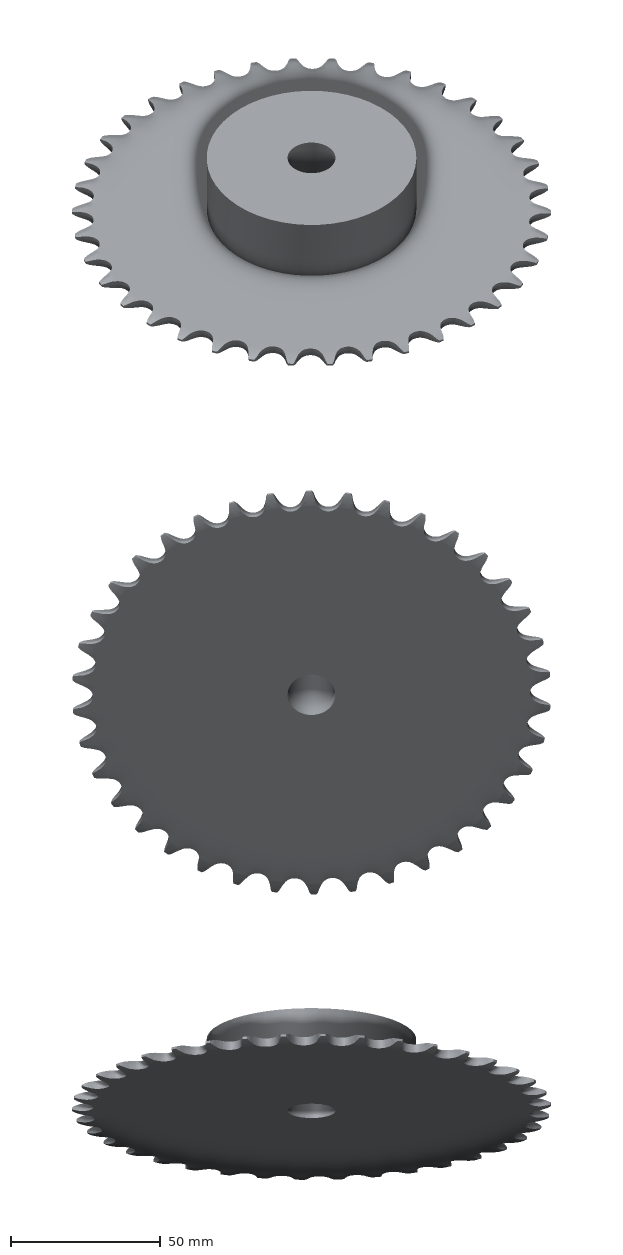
import cadquery as cq
import math

TOOTH_COUNT = 38
TIP_DIAMETER = 159.8
PITCH_DIAMETER = 153.7
ROLLER_DIAMETER = 7.8
PLATE_THICKNESS = 2.9
TOTAL_HEIGHT = 25.0
HUB_DIAMETER = 70.0
BORE_DIAMETER = 16.0

RELIEF_START_RADIUS = 74.8
RELIEF_RADIUS = 13.0

TIP_RADIUS = TIP_DIAMETER / 2
TOOTH_STEP = 360 / TOOTH_COUNT
CUTTER_OVERRUN = 0.5

SEAT_RADIUS = 0.5025 * ROLLER_DIAMETER
WORKING_OFFSET = 0.8 * ROLLER_DIAMETER
TOPPING_OFFSET = 1.4 * ROLLER_DIAMETER
WORKING_RADIUS = SEAT_RADIUS + WORKING_OFFSET
SEAT_END_ANGLE = 35 + 60 / TOOTH_COUNT
WORKING_ANGLE = 18 - 56 / TOOTH_COUNT


def relief_drop(radius):
    """Depth of the side rounding below the plate face at a given radius."""
    outward = radius - RELIEF_START_RADIUS
    return RELIEF_RADIUS - math.sqrt(RELIEF_RADIUS**2 - outward**2)


def toothless_plate():
    """Revolved disc whose rim is rounded on both faces."""
    mid_radius = (RELIEF_START_RADIUS + TIP_RADIUS) / 2
    mid_drop = relief_drop(mid_radius)
    tip_drop = relief_drop(TIP_RADIUS)
    return (
        cq.Workplane("XZ")
        .lineTo(RELIEF_START_RADIUS, 0)
        .threePointArc((mid_radius, mid_drop), (TIP_RADIUS, tip_drop))
        .lineTo(TIP_RADIUS, PLATE_THICKNESS - tip_drop)
        .threePointArc((mid_radius, PLATE_THICKNESS - mid_drop), (RELIEF_START_RADIUS, PLATE_THICKNESS))
        .lineTo(0, PLATE_THICKNESS)
        .close()
        .revolve(360, (0, 0, 0), (0, 1, 0))
    )


def arc_point(center, radius, angle):
    """Point on a circle; a positive angle leans inward (-X) from the tangential +Y direction."""
    turn = math.radians(angle)
    return (center[0] - radius * math.sin(turn), center[1] + radius * math.cos(turn))


def tooth_gap():
    """Cutter for one gap, centred on +X: roller seat, working curves, short flats and topping curves."""
    seat_center = (PITCH_DIAMETER / 2, 0)
    seat_end = arc_point(seat_center, SEAT_RADIUS, SEAT_END_ANGLE)

    working_center = arc_point(seat_center, -WORKING_OFFSET, SEAT_END_ANGLE)
    working_end_angle = SEAT_END_ANGLE - WORKING_ANGLE
    working_middle = arc_point(working_center, WORKING_RADIUS, SEAT_END_ANGLE - WORKING_ANGLE / 2)
    working_end = arc_point(working_center, WORKING_RADIUS, working_end_angle)

    topping_center = arc_point(seat_center, TOPPING_OFFSET, TOOTH_STEP / 2)
    slope = math.radians(working_end_angle)
    flat_length = (
        (topping_center[0] - working_end[0]) * math.cos(slope)
        + (topping_center[1] - working_end[1]) * math.sin(slope)
    )
    flat_end = (
        working_end[0] + flat_length * math.cos(slope),
        working_end[1] + flat_length * math.sin(slope),
    )
    topping_radius = math.dist(topping_center, flat_end)

    def topping_point(x):
        reach = math.sqrt(topping_radius**2 - (x - topping_center[0]) ** 2)
        return (x, topping_center[1] - reach)

    outer_x = TIP_RADIUS + CUTTER_OVERRUN
    topping_middle = topping_point((flat_end[0] + outer_x) / 2)
    topping_end = topping_point(outer_x)

    def mirrored(point):
        return (point[0], -point[1])

    return (
        cq.Workplane("XY")
        .moveTo(*mirrored(topping_end))
        .threePointArc(mirrored(topping_middle), mirrored(flat_end))
        .lineTo(*mirrored(working_end))
        .threePointArc(mirrored(working_middle), mirrored(seat_end))
        .threePointArc((seat_center[0] - SEAT_RADIUS, 0), seat_end)
        .threePointArc(working_middle, working_end)
        .lineTo(*flat_end)
        .threePointArc(topping_middle, topping_end)
        .close()
        .extrude(PLATE_THICKNESS)
    )


plate = toothless_plate()
gap = tooth_gap()
for index in range(TOOTH_COUNT):
    gap_angle = (index + 0.5) * TOOTH_STEP
    plate = plate.cut(gap.rotate((0, 0, 0), (0, 0, 1), gap_angle))

hub = cq.Workplane("XY").circle(HUB_DIAMETER / 2).extrude(TOTAL_HEIGHT)
bore = cq.Workplane("XY").circle(BORE_DIAMETER / 2).extrude(TOTAL_HEIGHT)

result = plate.union(hub).cut(bore)